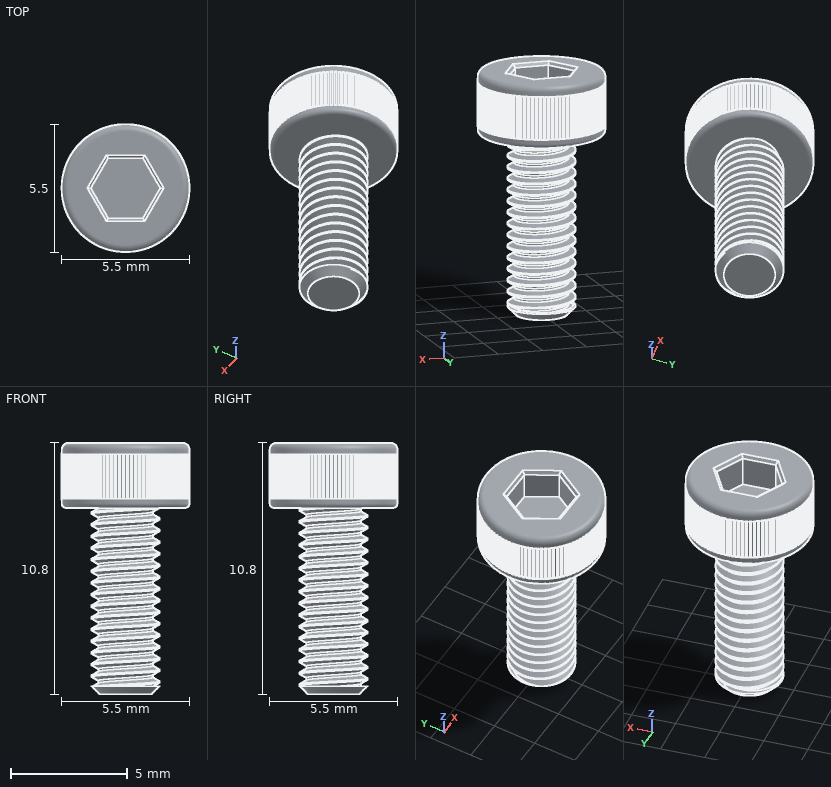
import math

import cadquery as cq


HEAD_DIAMETER = 5.5
HEAD_HEIGHT = 2.8
HEAD_TOP_FILLET = 0.3
HEAD_BOTTOM_FILLET = 0.2

KNURL_COUNT = 100
KNURL_GROOVE_WIDTH = 0.1
KNURL_DEPTH = 0.05
KNURL_BOTTOM = 0.4
KNURL_TOP_MARGIN = 0.5
KNURL_TOP = HEAD_HEIGHT - KNURL_TOP_MARGIN

SOCKET_SIDES = 6
HALF_SECTOR = 180 / SOCKET_SIDES
SOCKET_ACROSS_FLATS = 2.58
SOCKET_DEPTH = 1.5
SOCKET_CHAMFER_WIDTH = 0.13
SOCKET_CHAMFER_DEPTH = 0.15

SHANK_LENGTH = 8.0
MAJOR_DIAMETER = 2.93
ROOT_DIAMETER = 2.36
PITCH = 0.5
FLANK_ANGLE = 30.0
CREST_WIDTH = PITCH / 8
TIP_CHAMFER = 0.36
CREST_HEIGHT_AT_X_AXIS = 0.535
RIDGE_OVERLAP = 0.03

PLANE_TOLERANCE = 0.001

HEAD_RADIUS = HEAD_DIAMETER / 2
MAJOR_RADIUS = MAJOR_DIAMETER / 2
ROOT_RADIUS = ROOT_DIAMETER / 2
THREAD_LENGTH = SHANK_LENGTH - TIP_CHAMFER


def make_head():
    """Cylindrical head with rounded top and bottom rims."""
    head = cq.Workplane("XY").circle(HEAD_RADIUS).extrude(HEAD_HEIGHT)
    head = head.faces(">Z").edges().fillet(HEAD_TOP_FILLET)
    return head.faces("<Z").edges().fillet(HEAD_BOTTOM_FILLET)


def make_knurl_grooves():
    """Ring of radial boxes centred on the rim, whose inner faces are the groove floors."""
    radial_size = 2 * KNURL_DEPTH
    return (
        cq.Workplane("XY", origin=(0, 0, KNURL_BOTTOM))
        .polarArray(HEAD_RADIUS, 0, 360, KNURL_COUNT)
        .rect(radial_size, KNURL_GROOVE_WIDTH)
        .extrude(KNURL_TOP - KNURL_BOTTOM)
    )


def corner_diameter(across_flats):
    """Diameter through the corners of a regular hexagon."""
    return across_flats / math.cos(math.radians(HALF_SECTOR))


def make_socket():
    """Hexagonal recess with two corners on the X axis and a chamfered mouth."""
    mouth_across_flats = SOCKET_ACROSS_FLATS + 2 * SOCKET_CHAMFER_WIDTH
    recess = (
        cq.Workplane("XY", origin=(0, 0, HEAD_HEIGHT))
        .polygon(SOCKET_SIDES, corner_diameter(SOCKET_ACROSS_FLATS))
        .extrude(-SOCKET_DEPTH)
    )
    mouth = (
        cq.Workplane("XY", origin=(0, 0, HEAD_HEIGHT - SOCKET_CHAMFER_DEPTH))
        .polygon(SOCKET_SIDES, corner_diameter(SOCKET_ACROSS_FLATS))
        .workplane(offset=SOCKET_CHAMFER_DEPTH)
        .polygon(SOCKET_SIDES, corner_diameter(mouth_across_flats))
        .loft(ruled=True)
    )
    return recess.union(mouth)


def make_core():
    """Root cylinder of the thread, ending in a conical tip of full thread diameter."""
    tip_radius = MAJOR_RADIUS - TIP_CHAMFER
    return (
        cq.Workplane("XZ")
        .moveTo(0, -SHANK_LENGTH)
        .lineTo(tip_radius, -SHANK_LENGTH)
        .lineTo(MAJOR_RADIUS, -THREAD_LENGTH)
        .lineTo(ROOT_RADIUS, -THREAD_LENGTH)
        .lineTo(ROOT_RADIUS, 0)
        .lineTo(0, 0)
        .close()
        .revolve(360, (0, 0), (0, 1))
    )


def make_thread_ridge():
    """Right-hand helical ridge, trimmed flat at the tip cone and at the head."""
    start_z = CREST_HEIGHT_AT_X_AXIS - SHANK_LENGTH - PITCH
    turns = math.ceil(SHANK_LENGTH / PITCH) + 1
    helix = cq.Wire.makeHelix(PITCH, turns * PITCH, ROOT_RADIUS, center=cq.Vector(0, 0, start_z))

    base_radius = ROOT_RADIUS - RIDGE_OVERLAP
    crest_half = CREST_WIDTH / 2
    base_half = crest_half + (MAJOR_RADIUS - base_radius) * math.tan(math.radians(FLANK_ANGLE))
    ridge = (
        cq.Workplane("XZ")
        .moveTo(base_radius, start_z - base_half)
        .lineTo(MAJOR_RADIUS, start_z - crest_half)
        .lineTo(MAJOR_RADIUS, start_z + crest_half)
        .lineTo(base_radius, start_z + base_half)
        .close()
        .sweep(cq.Workplane(obj=helix), isFrenet=True)
    )
    keep_zone = (
        cq.Workplane("XY", origin=(0, 0, -THREAD_LENGTH))
        .circle(HEAD_RADIUS)
        .extrude(THREAD_LENGTH)
    )
    return ridge.intersect(keep_zone)


def join_at_underside(head, screw):
    """Close one solid from the knurled head above the underside and the screw faces up to it.

    Sewing along the shared underside rim avoids a slow fusion of the many
    groove walls with the helical faces.
    """
    upper = [face for face in head.faces().vals() if face.BoundingBox().zmax > PLANE_TOLERANCE]
    lower = [face for face in screw.faces().vals() if face.BoundingBox().zmax <= PLANE_TOLERANCE]
    shell = cq.Shell.makeShell(upper + lower)
    return cq.Workplane(obj=cq.Solid.makeSolid(shell))


plain_head = make_head()
shank = make_core().union(make_thread_ridge())
plain_screw = plain_head.union(shank)
finished_head = plain_head.cut(make_knurl_grooves()).cut(make_socket())
result = join_at_underside(finished_head, plain_screw)